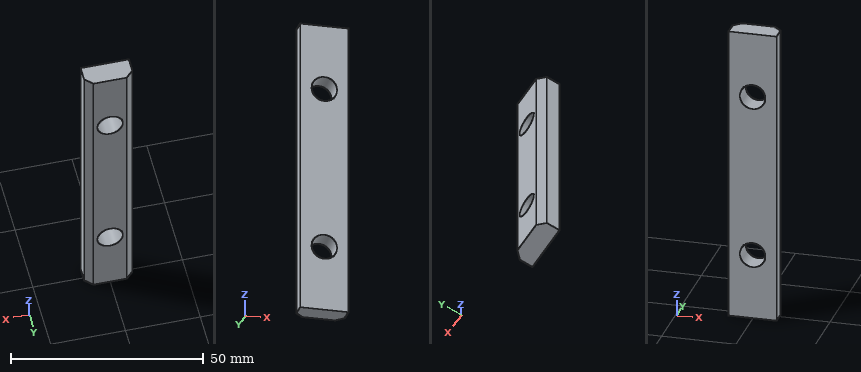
import cadquery as cq

length = 81.0
width = 13.0
thickness = 6.0

chamfer = 2.0

hole_diameter = 6.8
hole_spacing = 45.0

bar = cq.Workplane("XY").box(width, thickness, length)

bar = bar.faces(">Y").edges("|Z").chamfer(chamfer)

result = (
    bar.faces("<Y")
    .workplane(centerOption="CenterOfBoundBox")
    .pushPoints([(0, -hole_spacing / 2), (0, hole_spacing / 2)])
    .hole(hole_diameter)
)